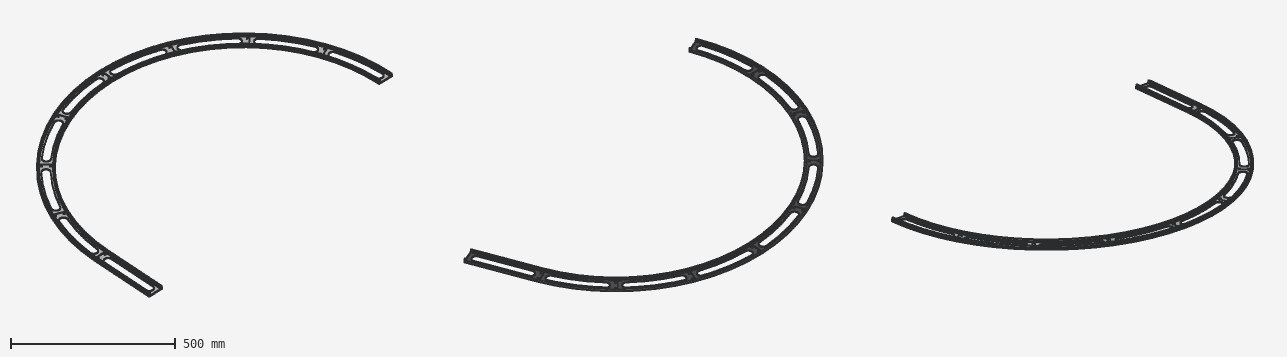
import cadquery as cq
import math

OUTER_RADIUS = 628.0
WIDTH = 55.0
HEIGHT = 11.7
STRAIGHT_LENGTH = 235.0
SEGMENT_COUNT = 8
ARC_START = 90.0
ARC_ANGLE = 180.0
SEGMENT_ANGLE = ARC_ANGLE / SEGMENT_COUNT
MID_RADIUS = OUTER_RADIUS - WIDTH / 2

FLOOR = 3.0
RAIL_FOOT = 6.9
RAIL_HEAD = 3.4
SHOULDER_Z = 5.8
SHOULDER_SLOPE = 7.0

SLOT_BORDER = 6.7
SLOT_WIDTH = WIDTH - 2 * (RAIL_FOOT + SLOT_BORDER)
SLOT_MARGIN = 14.0
SOCKET_SLOT_MARGIN = 23.0

TONGUE_LENGTH = 9.0
TONGUE_TIP = 31.0
TONGUE_NECK = 23.0


def polar(radius, angle):
    return radius * math.cos(math.radians(angle)), radius * math.sin(math.radians(angle))


def channel_section(plane):
    """Channel section centred on the plane's local x axis, underside at local y = 0."""
    shoulder = (RAIL_FOOT - RAIL_HEAD) / 2
    half = WIDTH / 2
    head_outer = half - shoulder
    head_inner = head_outer - RAIL_HEAD
    foot_inner = half - RAIL_FOOT
    shoulder_top = SHOULDER_Z + shoulder * math.tan(math.radians(SHOULDER_SLOPE))
    right_side = [
        (half, 0),
        (half, SHOULDER_Z),
        (head_outer, shoulder_top),
        (head_outer, HEIGHT),
        (head_inner, HEIGHT),
        (head_inner, shoulder_top),
        (foot_inner, SHOULDER_Z),
        (foot_inner, FLOOR),
    ]
    left_side = [(-x, z) for x, z in reversed(right_side)]
    return cq.Workplane(plane).polyline(right_side + left_side).close()


def tongue(joint_angle):
    """Dovetail on the joint at the given polar angle, pointing clockwise into the socket."""
    return (
        cq.Workplane("XY")
        .polyline(
            [
                (MID_RADIUS - TONGUE_NECK / 2, 0),
                (MID_RADIUS - TONGUE_TIP / 2, -TONGUE_LENGTH),
                (MID_RADIUS + TONGUE_TIP / 2, -TONGUE_LENGTH),
                (MID_RADIUS + TONGUE_NECK / 2, 0),
            ]
        )
        .close()
        .extrude(FLOOR)
        .rotate((0, 0, 0), (0, 0, 1), joint_angle)
    )


def curved_slot(start, end):
    """Round-ended slot along the middle radius between two polar angles."""
    end_radius = SLOT_WIDTH / 2
    cap = math.degrees(end_radius / MID_RADIUS)
    first, last = start + cap, end - cap
    middle = (start + end) / 2
    inside, outside = MID_RADIUS - end_radius, MID_RADIUS + end_radius
    return (
        cq.Workplane("XY")
        .moveTo(*polar(inside, first))
        .threePointArc(polar(MID_RADIUS, start), polar(outside, first))
        .threePointArc(polar(outside, middle), polar(outside, last))
        .threePointArc(polar(MID_RADIUS, end), polar(inside, last))
        .threePointArc(polar(inside, middle), polar(inside, first))
        .close()
        .extrude(FLOOR)
    )


def curved_segment(index):
    """Curved channel with a socket at its far end; all but the first also carry a tongue."""
    start = ARC_START + index * SEGMENT_ANGLE
    end = start + SEGMENT_ANGLE
    slot_start = start + math.degrees(SLOT_MARGIN / MID_RADIUS)
    slot_end = end - math.degrees(SOCKET_SLOT_MARGIN / MID_RADIUS)
    plane = cq.Plane(origin=(MID_RADIUS, 0, 0), xDir=(1, 0, 0), normal=(0, -1, 0))
    body = (
        channel_section(plane)
        .revolve(SEGMENT_ANGLE, (-MID_RADIUS, 0, 0), (-MID_RADIUS, 1, 0))
        .rotate((0, 0, 0), (0, 0, 1), start)
        .cut(curved_slot(slot_start, slot_end))
        .cut(tongue(end))
    )
    if index > 0:
        body = body.union(tongue(start))
    return body


def straight_piece():
    """Straight channel that continues the end of the arc, joined by a tongue."""
    plane = cq.Plane(origin=(0, -MID_RADIUS, 0), xDir=(0, 1, 0), normal=(1, 0, 0))
    slot_length = STRAIGHT_LENGTH - 2 * SLOT_MARGIN
    slot = (
        cq.Workplane("XY")
        .center(STRAIGHT_LENGTH / 2, -MID_RADIUS)
        .slot2D(slot_length, SLOT_WIDTH)
        .extrude(FLOOR)
    )
    return channel_section(plane).extrude(STRAIGHT_LENGTH).cut(slot).union(tongue(ARC_START + ARC_ANGLE))


segments = [curved_segment(index) for index in range(SEGMENT_COUNT)]
straight = straight_piece()

result = cq.Compound.makeCompound([*(segment.val() for segment in segments), straight.val()])